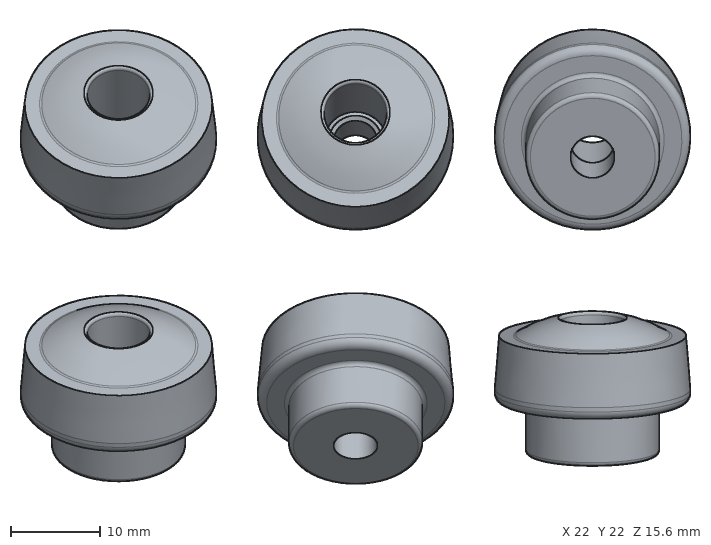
import cadquery as cq
import math

total_height = 15.55
rim_height = 13.53
flange_bottom = 6.0
flange_band_top = 7.49

flange_radius = 10.98
rim_radius = 10.5
stem_radius = 15.0 / 2
dome_foot_radius = 8.87
dome_edge_radius = 8.63
mouth_radius = 3.86

stem_edge_fillet = 0.5
neck_fillet = 0.5
flange_fillet = 0.99
dome_foot_rise = 0.09

bore_radius = 7.0 / 2
crest_radius = 2.96
hole_radius = 4.92 / 2
crest_height = 5.5
crest_slope = math.tan(math.radians(30))
bore_floor = crest_height - (bore_radius - crest_radius) * crest_slope
hole_top = crest_height - (crest_radius - hole_radius) * crest_slope
mouth_fillet = mouth_radius - bore_radius

dome_edge_height = rim_height + dome_foot_rise
dome_rise = total_height - dome_edge_height
dome_centre_height = (
    total_height**2 + mouth_radius**2 - dome_edge_height**2 - dome_edge_radius**2
) / (2 * dome_rise)
dome_radius = math.hypot(mouth_radius, total_height - dome_centre_height)
dome_mid_radius = (mouth_radius + dome_edge_radius) / 2
dome_mid_height = dome_centre_height + math.sqrt(dome_radius**2 - dome_mid_radius**2)


def make_profile():
    """Half section, with the radius along X and the height along Z."""
    profile = cq.Workplane("XZ").moveTo(hole_radius, 0)

    profile = (
        profile.lineTo(stem_radius - stem_edge_fillet, 0)
        .radiusArc((stem_radius, stem_edge_fillet), -stem_edge_fillet)
        .lineTo(stem_radius, flange_bottom - neck_fillet)
        .radiusArc((stem_radius + neck_fillet, flange_bottom), neck_fillet)
        .lineTo(flange_radius - flange_fillet, flange_bottom)
        .radiusArc((flange_radius, flange_bottom + flange_fillet), -flange_fillet)
        .lineTo(flange_radius, flange_band_top)
    )

    profile = (
        profile.lineTo(rim_radius, rim_height)
        .lineTo(dome_foot_radius, rim_height)
        .tangentArcPoint((dome_edge_radius, dome_edge_height), relative=False)
        .threePointArc((dome_mid_radius, dome_mid_height), (mouth_radius, total_height))
    )

    return (
        profile.radiusArc((bore_radius, total_height - mouth_fillet), -mouth_fillet)
        .lineTo(bore_radius, bore_floor)
        .lineTo(crest_radius, crest_height)
        .lineTo(hole_radius, hole_top)
        .close()
    )


result = make_profile().revolve(360, (0, 0, 0), (0, 1, 0))